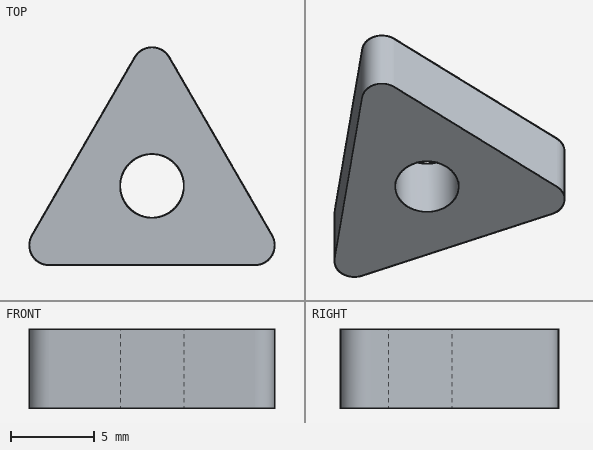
import cadquery as cq
import math

inscribed_diameter = 9.525
corner_radius = 1.2
thickness = 4.76
hole_diameter = 3.81

corner_count = 3
circumscribed_diameter = inscribed_diameter / math.cos(math.pi / corner_count)
corner_direction = 90.0


def make_body():
    """Triangular plate with rounded vertical edges, resting on Z = 0."""
    plate = (
        cq.Workplane("XY")
        .transformed(rotate=(0, 0, corner_direction))
        .polygon(corner_count, circumscribed_diameter)
        .extrude(thickness)
    )
    return plate.edges("|Z").fillet(corner_radius)


def make_hole():
    """Cylinder that removes the central through hole."""
    return cq.Workplane("XY").circle(hole_diameter / 2).extrude(thickness)


result = make_body().cut(make_hole())